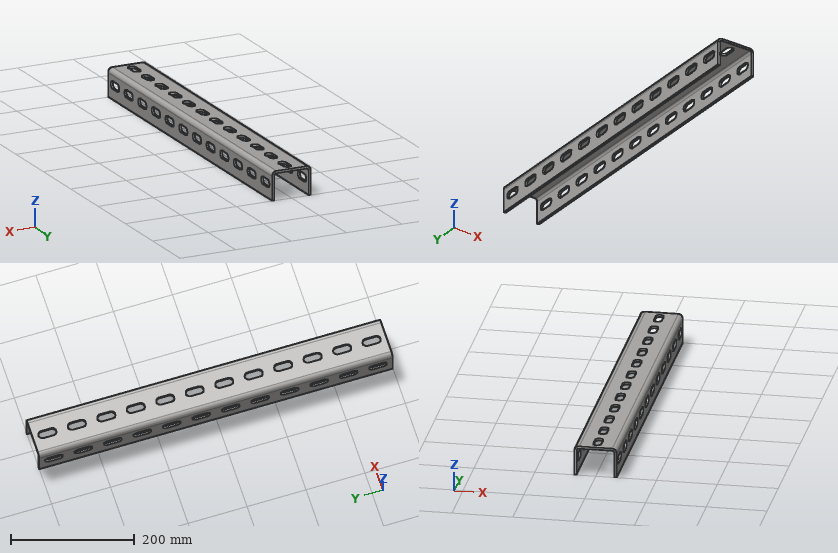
import cadquery as cq

length = 600.0
width = 70.0
height = 50.0
sheet_thickness = 4.0
inner_bend_radius = sheet_thickness
outer_bend_radius = inner_bend_radius + sheet_thickness

slot_count = 12
slot_pitch = length / slot_count
slot_length = 30.0
slot_width = 13.0
flange_slot_height = height / 2


def bent_block(block_width, block_height, bend_radius):
    """Block along Y, resting on Z = 0, with its two long top edges rounded."""
    block = cq.Workplane("XY").box(block_width, length, block_height, centered=(True, True, False))
    return block.edges("|Y and >Z").fillet(bend_radius)


def slot_row(plane, cut_length):
    """Row of round-ended cutters, elongated and spaced along Y, centred on the plane."""
    return (
        cq.Workplane(plane)
        .rarray(slot_pitch, 6, slot_count, 1)
        .slot2D(slot_length, slot_width)
        .extrude(cut_length, both=True)
    )


channel = bent_block(width, height, outer_bend_radius).cut(
    bent_block(width - 2 * sheet_thickness, height - sheet_thickness, inner_bend_radius)
)

web_plane = cq.Plane(origin=(0, 0, height), xDir=(0, 1, 0), normal=(0, 0, 1))
flange_plane = cq.Plane(origin=(0, 0, flange_slot_height), xDir=(0, 1, 0), normal=(1, 0, 0))
web_slots = slot_row(web_plane, 2 * sheet_thickness)
flange_slots = slot_row(flange_plane, width)

result = channel.cut(web_slots).cut(flange_slots)